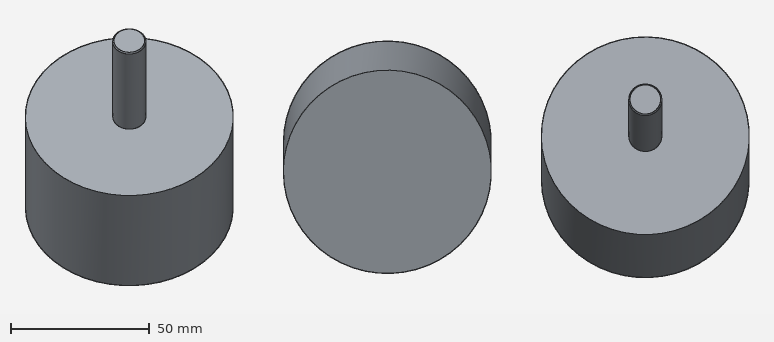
import cadquery as cq

total_height = 92.0
body_diameter = 75.0
body_height = 50.0
stud_diameter = 12.0
stud_chamfer = 0.5

stud_length = total_height - body_height

body = cq.Workplane("XY").circle(body_diameter / 2).extrude(body_height)

stud = (
    cq.Workplane("XY", origin=(0, 0, body_height))
    .circle(stud_diameter / 2)
    .extrude(stud_length)
    .faces(">Z")
    .chamfer(stud_chamfer)
)

result = body.union(stud)